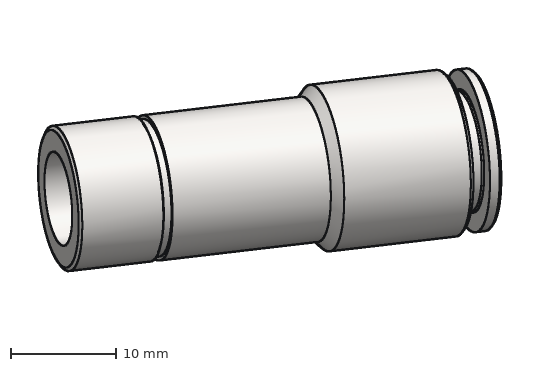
import cadquery as cq

length = 41.8
bore_radius = 4.5

stem_radius = 7.0
stem_end_chamfer_length = 0.25
stem_end_chamfer_depth = 0.38

groove_start = 8.5
groove_end = 9.25
groove_radius = 6.6
groove_cone_length = 0.15

body_radius = 8.005
body_back = 2.8
body_length = 14.0
cone_length = body_radius - stem_radius
body_chamfer = 0.38

end_cone_radius = 6.6
end_cone_height = 0.3

neck_radius = 5.8
flange_radius = 7.8
flange_thickness = 1.2
flange_chamfer = 0.25
neck_flare_width = 0.13
neck_flare_length = 0.2

stem_face = -length / 2
flange_face = length / 2
groove_bottom = stem_face + groove_start
groove_top = stem_face + groove_end
body_top = flange_face - body_back
body_bottom = body_top - body_length
end_cone_top = body_top + end_cone_height
flange_bottom = flange_face - flange_thickness

outline = [
    (bore_radius, stem_face),
    (stem_radius - stem_end_chamfer_depth, stem_face),
    (stem_radius, stem_face + stem_end_chamfer_length),
    (stem_radius, groove_bottom - groove_cone_length),
    (groove_radius, groove_bottom),
    (groove_radius, groove_top),
    (stem_radius, groove_top),
    (stem_radius, body_bottom),
    (body_radius, body_bottom + cone_length),
    (body_radius, body_top - body_chamfer),
    (body_radius - body_chamfer, body_top),
    (end_cone_radius, body_top),
    (neck_radius, end_cone_top),
    (neck_radius, flange_bottom - neck_flare_length),
    (neck_radius + neck_flare_width, flange_bottom),
    (flange_radius, flange_bottom),
    (flange_radius, flange_face - flange_chamfer),
    (flange_radius - flange_chamfer, flange_face),
    (bore_radius, flange_face),
]

result = cq.Workplane("XY").polyline(outline).close().revolve(360, (0, 0, 0), (0, 1, 0))